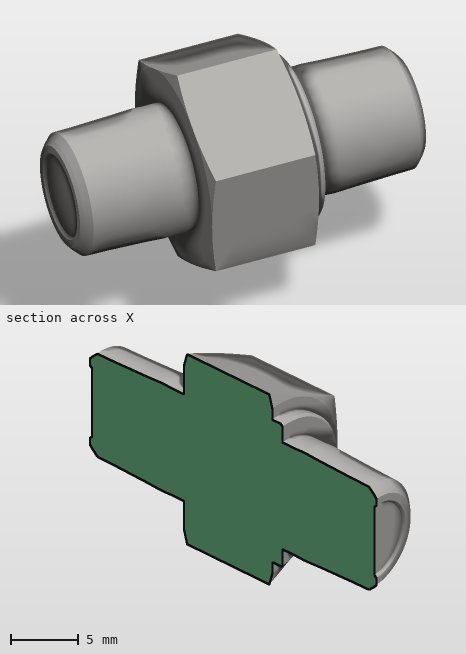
import cadquery as cq

total_length = 27.5
nut_front = 9.02
nut_length = 8.5
collar_length = 1.0

across_flats = 15.0
nut_chamfer_depth = 0.3
nut_chamfer_run = 1.18

collar_diameter = 13.0
collar_chamfer = 0.2

shoulder_diameter = 9.75
thread_root_diameter = 9.85
thread_tip_diameter = 9.4
thread_length = 6.98
tip_chamfer = 0.75
tip_edge_diameter = 8.42
tip_edge_depth = 0.25
tip_face_diameter = 7.8

recess_mouth_diameter = 6.6
recess_floor_diameter = 6.22
recess_depth = 0.22

front_end = -total_length / 2
nut_start = front_end + nut_front
nut_end = nut_start + nut_length
collar_end = nut_end + collar_length


def revolve_about_y(points):
    """Revolve a closed (radius, y) outline about the Y axis."""
    return cq.Workplane("XY").polyline(points).close().revolve(360, (0, 0, 0), (0, 1, 0))


def make_thread_end(shoulder, direction):
    """Tapered end growing from its shoulder along +Y or -Y (direction 1 or -1)."""
    end = direction * total_length / 2
    return revolve_about_y([
        (0, shoulder),
        (shoulder_diameter / 2, shoulder),
        (thread_root_diameter / 2, end - direction * thread_length),
        (thread_tip_diameter / 2, end - direction * tip_chamfer),
        (tip_edge_diameter / 2, end - direction * tip_edge_depth),
        (tip_face_diameter / 2, end),
        (recess_mouth_diameter / 2, end),
        (recess_floor_diameter / 2, end - direction * recess_depth),
        (0, end - direction * recess_depth),
    ])


def make_nut():
    """Hexagonal prism with conical chamfers on the corners of both faces."""
    prism = (
        cq.Workplane("XZ", origin=(0, nut_start, 0))
        .polygon(6, across_flats, circumscribed=True)
        .extrude(-nut_length)
    )
    face_radius = across_flats / 2
    rim_radius = face_radius + nut_chamfer_run
    chamfer_envelope = revolve_about_y([
        (0, nut_start),
        (face_radius, nut_start),
        (rim_radius, nut_start + nut_chamfer_depth),
        (rim_radius, nut_end - nut_chamfer_depth),
        (face_radius, nut_end),
        (0, nut_end),
    ])
    return prism.intersect(chamfer_envelope)


def make_collar():
    """Round collar with a chamfered outer edge on its free face."""
    radius = collar_diameter / 2
    return revolve_about_y([
        (0, nut_end),
        (radius, nut_end),
        (radius, collar_end - collar_chamfer),
        (radius - collar_chamfer, collar_end),
        (0, collar_end),
    ])


result = (
    make_nut()
    .union(make_collar())
    .union(make_thread_end(nut_start, -1))
    .union(make_thread_end(collar_end, 1))
)